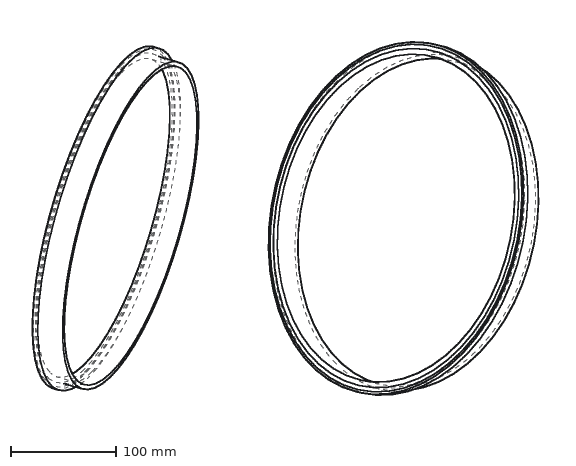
import cadquery as cq
import math

width = 28.0
flange_radius = 169.2
tube_radius = 161.8
bore_radius = 157.5
rim_width = 5.8
back_angle = 20.0
root_radius = 1.7
groove_radius = 165.0
groove_half_width = 2.0
groove_bottom_radius = 1.52
groove_flank_angle = 35.0

x_face = -width / 2
x_end = width / 2
x_rim = x_face + rim_width


def ring_profile():
    """Half section in XZ, with a round-bottomed seal groove in the face."""
    taper = math.radians(back_angle)
    x_corner = x_rim + (flange_radius - tube_radius) * math.tan(taper)

    turn = math.pi / 2 - taper
    tangent_length = root_radius * math.tan(turn / 2)
    x_tube = x_corner + tangent_length
    z_center = tube_radius + root_radius
    taper_end = (
        x_corner - tangent_length * math.sin(taper),
        tube_radius + tangent_length * math.cos(taper),
    )
    fillet_middle = (
        x_tube - root_radius * math.sin(turn / 2),
        z_center - root_radius * math.cos(turn / 2),
    )

    flank = math.radians(groove_flank_angle)
    bottom_half_width = groove_bottom_radius * math.cos(flank)
    x_flank_end = x_face + (groove_half_width - bottom_half_width) / math.tan(flank)
    x_groove_bottom = x_flank_end + groove_bottom_radius * (1 - math.sin(flank))

    return (
        cq.Workplane("XZ")
        .moveTo(x_face, bore_radius)
        .lineTo(x_face, groove_radius - groove_half_width)
        .lineTo(x_flank_end, groove_radius - bottom_half_width)
        .threePointArc(
            (x_groove_bottom, groove_radius),
            (x_flank_end, groove_radius + bottom_half_width),
        )
        .lineTo(x_face, groove_radius + groove_half_width)
        .lineTo(x_face, flange_radius)
        .lineTo(x_rim, flange_radius)
        .lineTo(*taper_end)
        .threePointArc(fillet_middle, (x_tube, tube_radius))
        .lineTo(x_end, tube_radius)
        .lineTo(x_end, bore_radius)
        .close()
    )


result = ring_profile().revolve(360, (0, 0, 0), (1, 0, 0))